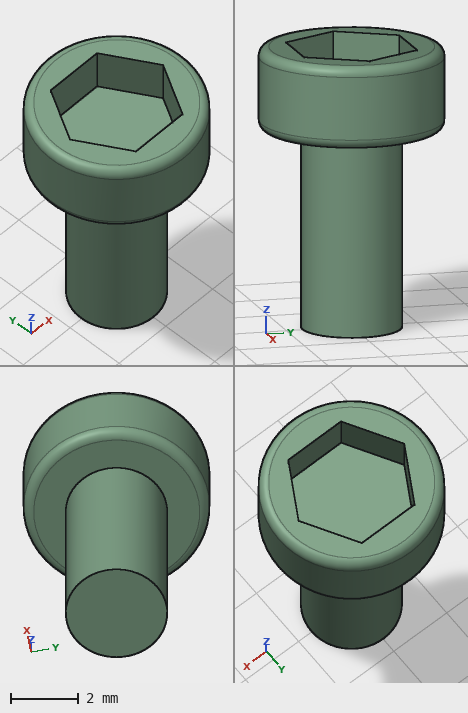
import cadquery as cq

total_length = 8.5
head_diameter = 5.5
head_height = 2.5
head_edge_radius = 0.3
shank_diameter = 3.0

socket_corner_diameter = 4.0
socket_depth = 1.5
socket_turn = 0.3

shank_length = total_length - head_height


def make_head():
    """Cylindrical head with both rims rounded, resting on the shank."""
    head = cq.Workplane("XY").workplane(offset=shank_length)
    head = head.circle(head_diameter / 2).extrude(head_height)
    return head.edges("%CIRCLE").fillet(head_edge_radius)


def make_shank():
    """Plain cylindrical shank starting at Z = 0."""
    return cq.Workplane("XY").circle(shank_diameter / 2).extrude(shank_length)


def make_socket():
    """Hexagonal prism sunk into the top of the head."""
    socket = cq.Workplane("XY").workplane(offset=total_length - socket_depth)
    socket = socket.polygon(6, socket_corner_diameter).extrude(socket_depth)
    return socket.rotate((0, 0, 0), (0, 0, 1), socket_turn)


result = make_head().union(make_shank()).cut(make_socket())